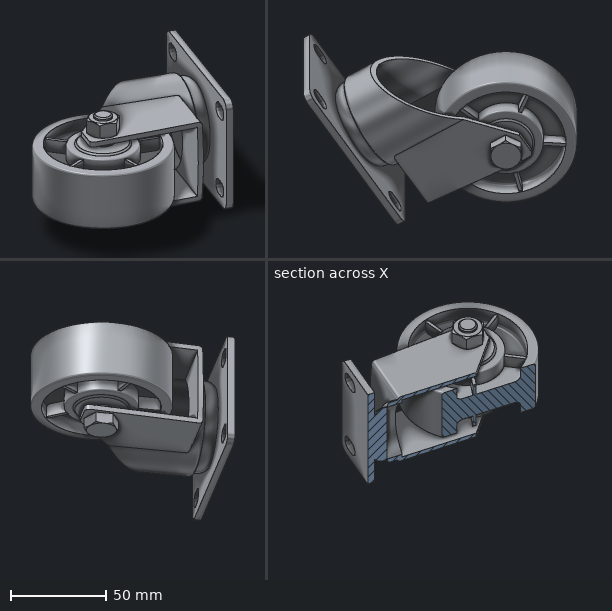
import cadquery as cq
import math


overall_length = 126.0
overall_height = 108.0

plate_length = 95.0
plate_width = 64.0
plate_thickness = 4.0
plate_corner_radius = 5.0
slot_length = 12.2
slot_width = 8.2
slot_pitch_x = 74.3
slot_pitch_z = 45.0

cap_diameter = 49.0
cap_round_start = 9.2
cap_top_inset = 2.4

barrel_diameter = 53.0
barrel_bore = 48.0
barrel_top = 11.3
leg_gap = 40.3
sheet_thickness = 2.9
bridge_top = 17.3
bend_radius = 2.3
barrel_short_side = 28.6
leg_bottom = 81.3
leg_bottom_start_x = 37.2
leg_top_x = 47.2
leg_bottom_x = 51.7
leg_corner_radius = 2.9
bridge_end_x = 48.9

wheel_diameter = 75.0
wheel_width = 32.0
tread_round = 1.5
rim_inner_diameter = 63.0
rim_root_round = 2.3
hub_diameter = 39.2
hub_round = 1.0
boss_top_diameter = 28.0
boss_height = 1.0
web_thickness = 15.1
rib_count = 5
rib_thickness = 1.9
rib_recess = 1.3
rib_embed = 1.3
first_rib_angle = 18.0
sleeve_diameter = 12.0

bolt_diameter = 10.0
bolt_end_z = 33.4
bolt_end_chamfer = 0.8
hex_across_flats = 16.0
bolt_head_height = 6.2
nut_height = 8.6
nut_crown_diameter = 15.2
hex_chamfer_angle = 30.0
half_corner_angle = 30.0

axle_x = overall_length - plate_length / 2 - wheel_diameter / 2
axle_y = -(overall_height - wheel_diameter / 2)
leg_inner_z = leg_gap / 2
leg_outer_z = leg_inner_z + sheet_thickness
shoulder_round = (barrel_diameter - cap_diameter) / 2
hex_corner_radius = hex_across_flats / 2 / math.cos(math.radians(half_corner_angle))


def along_y(y):
    """Workplane facing -Y at height y: local x is X, local y is Z."""
    return cq.Workplane("XZ", origin=(0, y, 0))


def at_axle(z):
    """Workplane facing +Z, centred on the wheel axle."""
    return cq.Workplane("XY", origin=(axle_x, axle_y, z))


def make_plate():
    """Rounded rectangle with four slots."""
    plate = along_y(0).rect(plate_length, plate_width).extrude(plate_thickness)
    plate = plate.edges("|Y").fillet(plate_corner_radius)
    slots = along_y(0).rarray(slot_pitch_x, slot_pitch_z, 2, 2).slot2D(slot_length, slot_width)
    return plate.cut(slots.extrude(plate_thickness))


def make_cap():
    """Round cap between plate and fork, rounded towards the plate."""
    radius = cap_diameter / 2
    return (
        cq.Workplane("XY")
        .moveTo(0, -barrel_top)
        .lineTo(radius, -barrel_top)
        .lineTo(radius, -cap_round_start)
        .tangentArcPoint((radius - cap_top_inset, -plate_thickness), relative=False)
        .lineTo(0, -plate_thickness)
        .close()
        .revolve(360, (0, 0, 0), (0, 1, 0))
    )


def make_side_outline():
    """Everything of the fork lies inside this X-Y outline."""
    left = -barrel_diameter / 2
    outline = (
        cq.Workplane("XY", origin=(0, 0, -barrel_diameter / 2))
        .moveTo(left, -barrel_top)
        .lineTo(left, -barrel_short_side)
        .lineTo(leg_bottom_start_x, -leg_bottom)
        .lineTo(leg_bottom_x, -leg_bottom)
        .lineTo(leg_top_x, -bridge_top)
        .lineTo(leg_top_x, -barrel_top)
        .close()
        .extrude(barrel_diameter)
    )
    return outline.edges("|Z").edges(">X").fillet(leg_corner_radius)


def make_fork():
    """Slanted tube that runs into two flat legs joined by a bridge."""
    depth = leg_bottom - barrel_top
    barrel = along_y(-barrel_top).circle(barrel_diameter / 2).extrude(depth)
    barrel = barrel.faces(">Y").edges().fillet(shoulder_round)

    channel = (
        cq.Workplane("XY")
        .box(leg_bottom_x, leg_bottom - bridge_top, 2 * leg_outer_z, centered=(False, False, True))
        .translate((0, -leg_bottom, 0))
        .edges("|X and >Y")
        .fillet(bend_radius)
    )
    fork = barrel.union(channel).intersect(make_side_outline())

    bore = along_y(-barrel_top).circle(barrel_bore / 2).extrude(depth)
    space_height = leg_bottom - bridge_top - sheet_thickness
    leg_space = (
        cq.Workplane("XY")
        .box(leg_bottom_x, space_height, leg_gap, centered=(False, False, True))
        .translate((0, -leg_bottom, 0))
    )
    fork = fork.cut(bore).cut(leg_space)

    bow = (
        along_y(-bridge_top)
        .moveTo(leg_top_x, -leg_inner_z)
        .threePointArc((bridge_end_x, 0), (leg_top_x, leg_inner_z))
        .close()
        .extrude(sheet_thickness)
    )
    bolt_holes = at_axle(-leg_outer_z).circle(bolt_diameter / 2).extrude(2 * leg_outer_z)
    return fork.union(bow).cut(bolt_holes)


def make_wheel():
    """Tread, web, hub, bosses, ribs and axle sleeve in one piece."""
    half_width = wheel_width / 2
    tread = at_axle(-half_width).circle(wheel_diameter / 2).extrude(wheel_width)
    wheel = tread.edges().fillet(tread_round)

    pocket_depth = (wheel_width - web_thickness) / 2
    for side, inner, outer in ((1, "<Z", ">Z"), (-1, ">Z", "<Z")):
        pocket = at_axle(side * half_width).circle(rim_inner_diameter / 2).extrude(-side * pocket_depth)
        pocket = pocket.faces(inner).edges().fillet(rim_root_round)
        hub = at_axle(0).circle(hub_diameter / 2).extrude(side * half_width)
        hub = hub.faces(outer).edges().fillet(hub_round)
        wheel = wheel.cut(pocket.cut(hub))

    base_radius = boss_top_diameter / 2 + boss_height
    boss_end = half_width + boss_height
    bosses = at_axle(-boss_end).circle(base_radius).extrude(2 * boss_end)
    wheel = wheel.union(bosses.faces("<Z or >Z").edges().chamfer(boss_height))

    rib_height = wheel_width - 2 * rib_recess
    rib_start = hub_diameter / 2 - rib_embed
    rib_length = rim_inner_diameter / 2 + rib_embed - rib_start
    for i in range(rib_count):
        rib = (
            cq.Workplane("XY")
            .box(rib_length, rib_thickness, rib_height, centered=(False, True, True))
            .translate((rib_start, 0, 0))
            .rotate((0, 0, 0), (0, 0, 1), first_rib_angle + i * 360 / rib_count)
            .translate((axle_x, axle_y, 0))
        )
        wheel = wheel.union(rib)

    sleeve = at_axle(-leg_inner_z).circle(sleeve_diameter / 2).extrude(leg_gap)
    bore = at_axle(-leg_inner_z).circle(bolt_diameter / 2).extrude(leg_gap)
    return wheel.union(sleeve).cut(bore)


def make_hex(height):
    """Plain hexagon prism standing on Z = 0, with two flats facing +X and -X."""
    hexagon = cq.Workplane("XY").polygon(6, 2 * hex_corner_radius).extrude(height)
    return hexagon.rotate((0, 0, 0), (0, 0, 1), half_corner_angle)


def turn_corners(hexagon, height, face, crown_diameter):
    """Cut the corners at one end face to a cone that leaves a round crown on that face."""
    inset = hex_corner_radius - crown_diameter / 2
    drop = inset * math.tan(math.radians(hex_chamfer_angle))
    turned = cq.Workplane("XY").circle(hex_corner_radius).extrude(height)
    return hexagon.intersect(turned.faces(face).edges().chamfer(drop, inset))


def make_bolt():
    """Hexagon head below the lower leg, shank through both legs and the wheel."""
    head = turn_corners(make_hex(bolt_head_height), bolt_head_height, "<Z", hex_across_flats)
    head = head.translate((axle_x, axle_y, -leg_outer_z - bolt_head_height))
    shank = at_axle(-leg_outer_z).circle(bolt_diameter / 2).extrude(leg_outer_z + bolt_end_z)
    return head.union(shank.faces(">Z").edges().chamfer(bolt_end_chamfer))


def make_nut():
    """Hexagon nut on the upper leg, chamfered at both ends."""
    nut = turn_corners(make_hex(nut_height), nut_height, "<Z", hex_across_flats)
    nut = turn_corners(nut, nut_height, ">Z", nut_crown_diameter)
    nut = nut.translate((axle_x, axle_y, leg_outer_z))
    return nut.cut(at_axle(leg_outer_z).circle(bolt_diameter / 2).extrude(nut_height))


swivel_housing = make_plate().union(make_cap()).union(make_fork())
wheel = make_wheel()
bolt = make_bolt()
nut = make_nut()

result = cq.Compound.makeCompound([swivel_housing.val(), wheel.val(), bolt.val(), nut.val()])